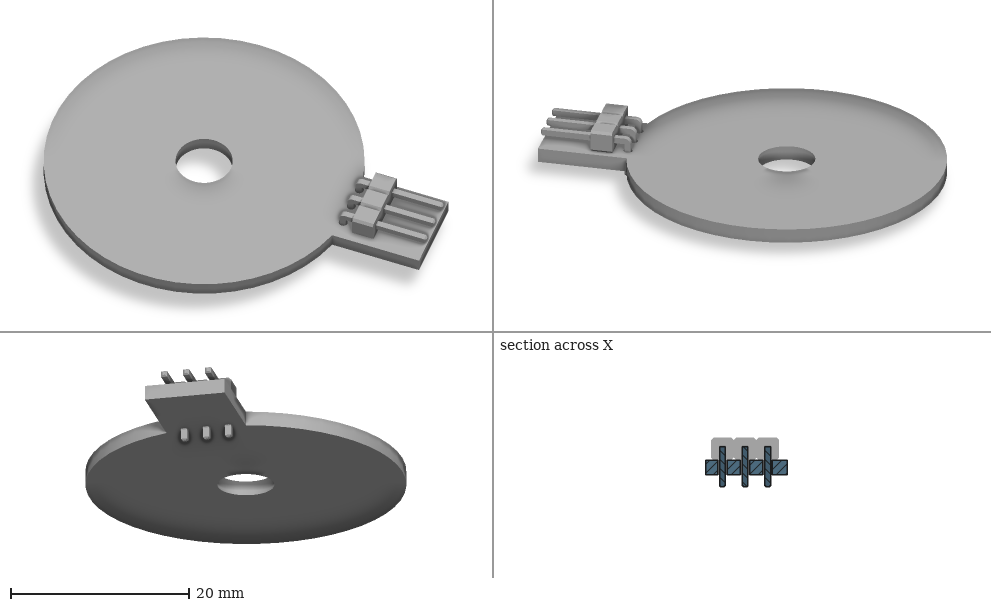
import cadquery as cq

disc_diameter = 36.0
center_hole_diameter = 6.4
board_thickness = 1.65
tab_end_x = 27.7
tab_width = 9.2
tab_center_y = -0.4

pin_count = 3
pitch = 2.54
header_center_y = -0.27
block_length = 2.47
block_start_x = 19.35
block_chamfer = 0.27
pin_width = 0.7
pin_leg_x = 17.8
pin_hole_diameter = 1.0
pin_tip_chamfer = 0.2
header_end_x = 45.8 - disc_diameter / 2
leg_protrusion = 1.37

pin_axis_z = board_thickness + pitch / 2
pin_ys = [header_center_y + (i - (pin_count - 1) / 2) * pitch for i in range(pin_count)]


def make_board():
    """Disc and tab with the center hole and one round hole per pin."""
    board = cq.Workplane("XY").circle(disc_diameter / 2).extrude(board_thickness)
    tab = (
        cq.Workplane("XY")
        .center(tab_end_x / 2, tab_center_y)
        .rect(tab_end_x, tab_width)
        .extrude(board_thickness)
    )
    center_hole = cq.Workplane("XY").circle(center_hole_diameter / 2).extrude(board_thickness)
    pin_holes = (
        cq.Workplane("XY")
        .pushPoints([(pin_leg_x, y) for y in pin_ys])
        .circle(pin_hole_diameter / 2)
        .extrude(board_thickness)
    )
    return board.union(tab).cut(center_hole).cut(pin_holes)


def make_block(y):
    """One housing segment, chamfered along its four X edges."""
    return (
        cq.Workplane("XY")
        .box(block_length, pitch, pitch)
        .edges("|X")
        .chamfer(block_chamfer)
        .translate((block_start_x + block_length / 2, y, pin_axis_z))
    )


def make_pin(y):
    """Square L-shaped pin with a rounded outer bend and tapered tips."""
    half = pin_width / 2
    left = pin_leg_x - half
    right = pin_leg_x + half
    top = pin_axis_z + half
    profile = (
        cq.Workplane("XZ", origin=(0, y + half, 0))
        .moveTo(left, -leg_protrusion)
        .lineTo(left, top - pin_width)
        .radiusArc((right, top), pin_width)
        .lineTo(header_end_x, top)
        .lineTo(header_end_x, top - pin_width)
        .lineTo(right, top - pin_width)
        .lineTo(right, -leg_protrusion)
        .close()
    )
    pin = profile.extrude(pin_width)
    return pin.faces("<Z or >X").chamfer(pin_tip_chamfer)


def make_header():
    """Housing segments and their pins joined as a single body."""
    header = make_block(pin_ys[0]).union(make_pin(pin_ys[0]))
    for y in pin_ys[1:]:
        header = header.union(make_block(y)).union(make_pin(y))
    return header


board = make_board()
header = make_header()

result = cq.Compound.makeCompound([board.val(), header.val()])